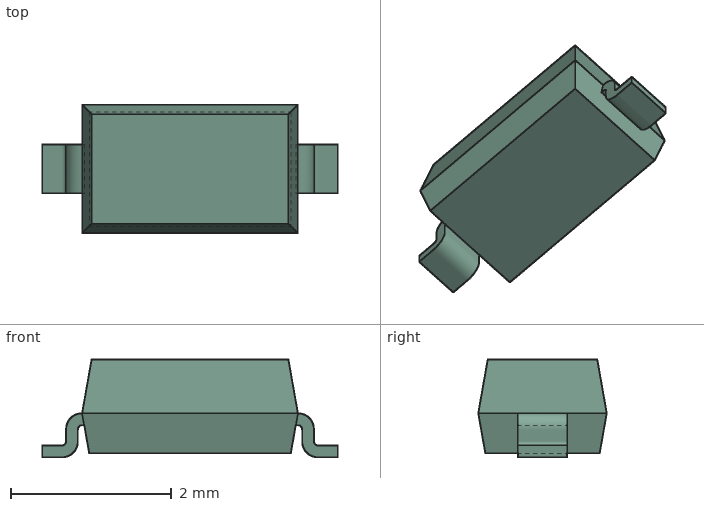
import cadquery as cq
import math

OVERALL_LENGTH = 3.68
LEAD_WIDTH = 0.61

BODY_LENGTH = 2.685
BODY_WIDTH = 1.6
BODY_BOTTOM_Z = 0.05
PARTING_Z = 0.55
BODY_TOP_Z = 1.22
DRAFT_ANGLE = 10.0

LEAD_THICKNESS = 0.15
OUTER_BEND_RADIUS = 0.2
INNER_BEND_RADIUS = OUTER_BEND_RADIUS - LEAD_THICKNESS
LEAD_EMBED = 0.2

BAND_INSET = 0.3
BAND_WIDTH = 0.2
BAND_DEPTH = 0.05
BAND_WALL_ANGLE = 45.0


def drafted_half(height):
    """Half of the body, narrowing from the parting plane; negative height goes down."""
    return (
        cq.Workplane("XY")
        .workplane(offset=PARTING_Z)
        .rect(BODY_LENGTH, BODY_WIDTH)
        .extrude(height, taper=DRAFT_ANGLE)
    )


def make_body():
    upper_half = drafted_half(BODY_TOP_Z - PARTING_Z)
    lower_half = drafted_half(BODY_BOTTOM_Z - PARTING_Z)
    return upper_half.union(lower_half)


def make_right_lead():
    """Lead on the +X side, an S-shaped strip from the parting plane down to Z = 0."""
    body_end_x = BODY_LENGTH / 2
    foot_end_x = OVERALL_LENGTH / 2
    embedded_x = body_end_x - LEAD_EMBED
    leg_outer_x = body_end_x + OUTER_BEND_RADIUS
    leg_inner_x = leg_outer_x - LEAD_THICKNESS
    lower_bend_x = leg_inner_x + OUTER_BEND_RADIUS
    upper_bend_z = PARTING_Z - OUTER_BEND_RADIUS
    lower_bend_z = OUTER_BEND_RADIUS
    diagonal = math.sqrt(0.5)

    def upper_bend_middle(radius):
        return (body_end_x + radius * diagonal, upper_bend_z + radius * diagonal)

    def lower_bend_middle(radius):
        return (lower_bend_x - radius * diagonal, lower_bend_z - radius * diagonal)

    return (
        cq.Workplane("XZ")
        .moveTo(embedded_x, PARTING_Z)
        .lineTo(body_end_x, PARTING_Z)
        .threePointArc(upper_bend_middle(OUTER_BEND_RADIUS), (leg_outer_x, upper_bend_z))
        .lineTo(leg_outer_x, lower_bend_z)
        .threePointArc(lower_bend_middle(INNER_BEND_RADIUS), (lower_bend_x, LEAD_THICKNESS))
        .lineTo(foot_end_x, LEAD_THICKNESS)
        .lineTo(foot_end_x, 0)
        .lineTo(lower_bend_x, 0)
        .threePointArc(lower_bend_middle(OUTER_BEND_RADIUS), (leg_inner_x, lower_bend_z))
        .lineTo(leg_inner_x, upper_bend_z)
        .threePointArc(
            upper_bend_middle(INNER_BEND_RADIUS),
            (body_end_x, PARTING_Z - LEAD_THICKNESS),
        )
        .lineTo(embedded_x, PARTING_Z - LEAD_THICKNESS)
        .close()
        .extrude(LEAD_WIDTH / 2, both=True)
    )


def make_cathode_band():
    """Wedge flush with the body top; its walls lean in so only its top face shows."""
    draft_run = (BODY_TOP_Z - PARTING_Z) * math.tan(math.radians(DRAFT_ANGLE))
    top_width = BODY_WIDTH - 2 * draft_run
    band_center_x = -BODY_LENGTH / 2 + draft_run + BAND_INSET + BAND_WIDTH / 2
    return (
        cq.Workplane("XY")
        .workplane(offset=BODY_TOP_Z)
        .center(band_center_x, 0)
        .rect(BAND_WIDTH, top_width)
        .extrude(-BAND_DEPTH, taper=BAND_WALL_ANGLE)
    )


right_lead = make_right_lead()
left_lead = right_lead.mirror("YZ")
package = make_body().union(right_lead).union(left_lead)

band = make_cathode_band()
result = package.cut(band).union(band, clean=False)